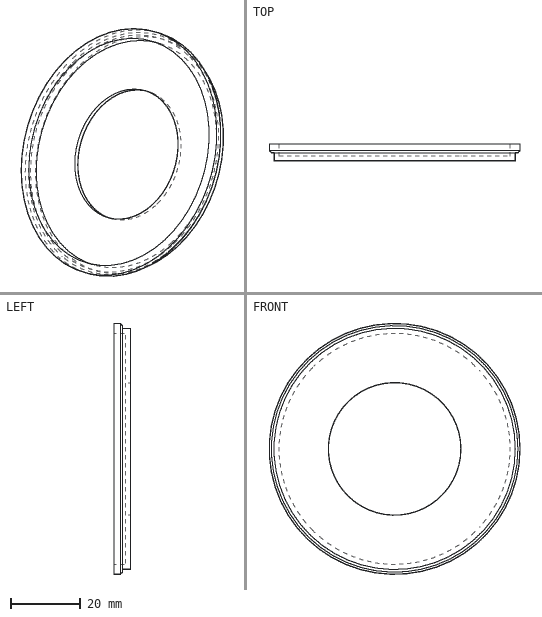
import cadquery as cq

flange_diameter = 72.4
shoulder_diameter = 69.6
bore_diameter = 38.15
total_thickness = 4.85
flange_thickness = 2.5
flange_chamfer = 0.65
wall_thickness = 1.45

shoulder_thickness = total_thickness - flange_thickness
recess_diameter = shoulder_diameter - 2 * wall_thickness
recess_depth = total_thickness - wall_thickness


def disc(diameter, start_y, thickness):
    """Solid disc on the Y axis, extending from start_y towards +Y."""
    plane = cq.Workplane("XZ", origin=(0, start_y, 0))
    return plane.circle(diameter / 2).extrude(-thickness)


flange = disc(flange_diameter, shoulder_thickness, flange_thickness)
flange = flange.faces("<Y").edges().chamfer(flange_chamfer)

shoulder = disc(shoulder_diameter, 0, shoulder_thickness)

recess = disc(recess_diameter, wall_thickness, recess_depth)

bore = disc(bore_diameter, 0, wall_thickness)

result = flange.union(shoulder).cut(recess).cut(bore)